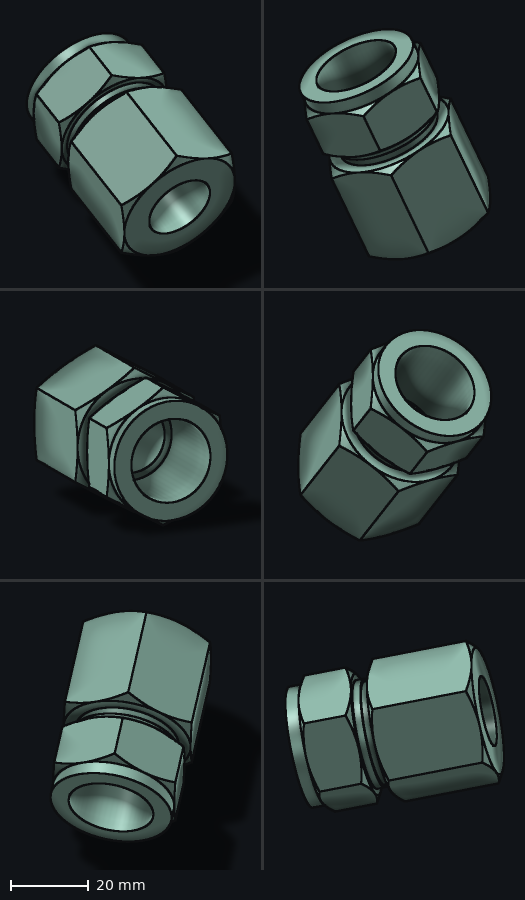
import cadquery as cq
import math

total_length = 49.8
collar_length = 3.55
nut_length = 13.95
shoulder_length = 2.1
neck_length = 2.35

nut_start = collar_length
shoulder_start = nut_start + nut_length
neck_start = shoulder_start + shoulder_length
body_start = neck_start + neck_length
body_length = total_length - body_start

hexagon_sides = 6
nut_flats = 31.85
body_flats = 33.35
collar_diameter = nut_flats
shoulder_diameter = 28.55
neck_diameter = 27.2

socket_diameter = 22.25
socket_depth = total_length / 2
bore_diameter = 18.3

chamfer_angle = 30.0
chamfer_clearance = 0.5


def cylinder(start, length, diameter):
    """Round section along X."""
    return cq.Workplane("YZ").workplane(offset=start).circle(diameter / 2).extrude(length)


def chamfered_hexagon(start, length, flats):
    """Hexagon along X with corners up and down, turned conically at both ends."""
    corners = flats / math.cos(math.pi / hexagon_sides)
    prism = (
        cq.Workplane("YZ")
        .workplane(offset=start)
        .transformed(rotate=(0, 0, 90))
        .polygon(hexagon_sides, corners)
        .extrude(length)
    )
    face_radius = flats / 2
    outer_radius = corners / 2 + chamfer_clearance
    cone_length = (outer_radius - face_radius) * math.tan(math.radians(chamfer_angle))
    end = start + length
    envelope = (
        cq.Workplane("XY")
        .moveTo(start, 0)
        .lineTo(start, face_radius)
        .lineTo(start + cone_length, outer_radius)
        .lineTo(end - cone_length, outer_radius)
        .lineTo(end, face_radius)
        .lineTo(end, 0)
        .close()
        .revolve(360, (0, 0, 0), (1, 0, 0))
    )
    return prism.intersect(envelope)


result = (
    cylinder(0, collar_length, collar_diameter)
    .union(chamfered_hexagon(nut_start, nut_length, nut_flats))
    .union(cylinder(shoulder_start, shoulder_length, shoulder_diameter))
    .union(cylinder(neck_start, neck_length, neck_diameter))
    .union(chamfered_hexagon(body_start, body_length, body_flats))
)

result = result.cut(cylinder(0, socket_depth, socket_diameter))
result = result.cut(cylinder(0, total_length, bore_diameter))